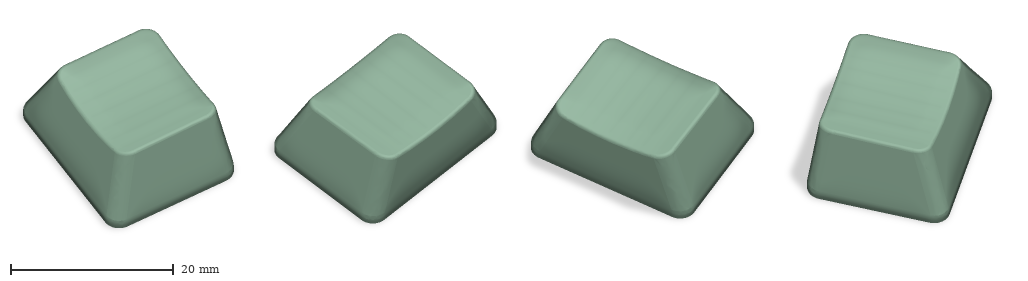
import cadquery as cq
import math

LENGTH = 22.92
WIDTH = 18.16
SKIRT_HEIGHT = 0.7
BEND_HEIGHT = 0.6
BEND_SECTIONS = 5
CORNER_RADIUS = 2.0
FRONT_CORNER_RADIUS = 1.8

SIDE_LEAN = 21.5
FRONT_LEAN = 22.0
BACK_LEAN = 5.0
STOCK_HEIGHT = 11.0

DISH_RADIUS = 38.5
DISH_TILT = 1.0
DISH_FLOOR = 8.38
RIM_RADIUS = 0.45

BEND_TOP = SKIRT_HEIGHT + BEND_HEIGHT
PLATE_THICKNESS = 1.0


def lean_rise(height):
    """Rise that, times the tangent of a wall's lean, gives how far the wall has moved inwards."""
    if height <= SKIRT_HEIGHT:
        return 0.0
    if height <= BEND_TOP:
        return (height - SKIRT_HEIGHT) ** 2 / (2 * BEND_HEIGHT)
    return height - BEND_TOP + BEND_HEIGHT / 2


def front_corner_radius(height):
    """Front corners tighten evenly over the height of the bend."""
    bend_share = min(max((height - SKIRT_HEIGHT) / BEND_HEIGHT, 0.0), 1.0)
    return CORNER_RADIUS + bend_share * (FRONT_CORNER_RADIUS - CORNER_RADIUS)


def outline(height):
    """Wire of the rounded rectangle that the walls have at this height."""
    rise = lean_rise(height)
    length = LENGTH - 2 * rise * math.tan(math.radians(SIDE_LEAN))
    front = -WIDTH / 2 + rise * math.tan(math.radians(FRONT_LEAN))
    back = WIDTH / 2 - rise * math.tan(math.radians(BACK_LEAN))
    plate = (
        cq.Workplane("XY", origin=(0, (front + back) / 2, height))
        .rect(length, back - front)
        .extrude(PLATE_THICKNESS)
        .edges("|Z and <Y")
        .fillet(front_corner_radius(height))
        .edges("|Z and >Y")
        .fillet(CORNER_RADIUS)
    )
    return plate.faces("<Z").val().outerWire()


def make_body():
    """Skirt, bend and leaning walls, stacked into one solid."""
    bend_step = BEND_HEIGHT / (BEND_SECTIONS - 1)
    bend_outlines = [outline(SKIRT_HEIGHT + i * bend_step) for i in range(BEND_SECTIONS)]
    skirt = cq.Solid.makeLoft([outline(0), outline(SKIRT_HEIGHT)], True)
    bend = cq.Solid.makeLoft(bend_outlines)
    walls = cq.Solid.makeLoft([outline(BEND_TOP), outline(STOCK_HEIGHT)], True)
    return cq.Workplane(skirt).union(cq.Workplane(bend)).union(cq.Workplane(walls))


def make_dish():
    """Cylinder whose underside is the trough floor."""
    return (
        cq.Workplane("XZ")
        .circle(DISH_RADIUS)
        .extrude(WIDTH, both=True)
        .translate((0, 0, DISH_FLOOR + DISH_RADIUS))
        .rotate((0, 0, DISH_FLOOR), (1, 0, DISH_FLOOR), DISH_TILT)
    )


dished = make_body().cut(make_dish())
result = dished.faces(">Z").edges().fillet(RIM_RADIUS)